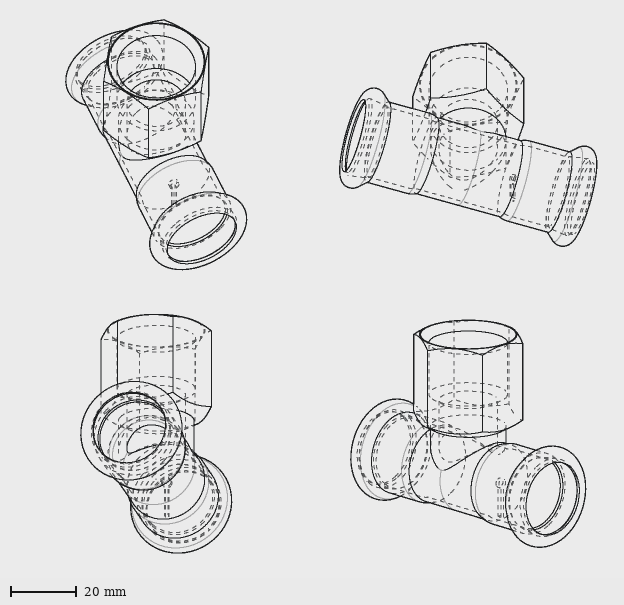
import cadquery as cq
import math

half_length = 37.0
wall = 1.5
socket_radius = 12.7
body_radius = 12.05
socket_bore = 11.0
body_bore = body_radius - wall
step_start = 16.05
step_end = 13.5
shoulder_sag = 0.15

bead_round = 3.2
bead_top = 15.75
bead_cone_length = 7.85
lip_bore = 11.4
lip_end = 1.25
recess_radius = 12.2
recess_start = 1.9
recess_end = 7.4
recess_step_end = 8.15

boss_radius = 11.55
branch_bore = 8.95
hex_flats = 30.0
hex_bottom = 15.0
hex_top = 44.25
hex_corner = hex_flats / math.sqrt(3)
corner_slope = math.tan(math.radians(30))
top_circle = 14.9
thread_bore = 12.0
mouth_radius = 14.6
mouth_depth = mouth_radius - thread_bore
thread_floor = 25.15
floor_depth = (thread_bore - branch_bore) * math.tan(math.radians(30))

tab_x = 14.8
tab_thickness = 1.2
tab_width = 1.2
tab_head_radius = 1.5

bead_x = half_length - bead_round
bead_z = bead_top - bead_round


def socket_outer(side):
    """Solid of revolution for one socket, side being +1 or -1 along X."""
    foot_x = half_length - bead_cone_length
    to_foot_x = foot_x - bead_x
    to_foot_z = socket_radius - bead_z
    foot_distance = math.hypot(to_foot_x, to_foot_z)
    tangent_angle = math.atan2(to_foot_z, to_foot_x) - math.acos(bead_round / foot_distance)
    tangent_x = bead_x + bead_round * math.cos(tangent_angle)
    tangent_z = bead_z + bead_round * math.sin(tangent_angle)
    mouth_x = bead_x + math.sqrt(bead_round**2 - (bead_z - lip_bore)**2)
    shoulder_x = (step_start + step_end) / 2
    shoulder_z = (socket_radius + body_radius) / 2 + shoulder_sag
    return (
        cq.Workplane("XZ")
        .moveTo(0, 0)
        .lineTo(0, body_radius)
        .lineTo(side * step_end, body_radius)
        .threePointArc((side * shoulder_x, shoulder_z), (side * step_start, socket_radius))
        .lineTo(side * foot_x, socket_radius)
        .lineTo(side * tangent_x, tangent_z)
        .threePointArc((side * half_length, bead_z), (side * mouth_x, lip_bore))
        .lineTo(side * mouth_x, 0)
        .close()
        .revolve(360, (0, 0, 0), (1, 0, 0))
    )


def socket_inner(side):
    """Stepped bore of one socket, with a tapered recess behind the mouth lip."""
    return (
        cq.Workplane("XZ")
        .moveTo(0, 0)
        .lineTo(0, body_bore)
        .lineTo(side * step_end, body_bore)
        .lineTo(side * step_start, socket_bore)
        .lineTo(side * (half_length - recess_step_end), socket_bore)
        .lineTo(side * (half_length - recess_end), lip_bore)
        .lineTo(side * (half_length - recess_start), recess_radius)
        .lineTo(side * (half_length - lip_end), lip_bore)
        .lineTo(side * half_length, lip_bore)
        .lineTo(side * half_length, 0)
        .close()
        .revolve(360, (0, 0, 0), (1, 0, 0))
    )


def hex_socket():
    """Hexagonal prism with corners on Y, turned conical at both ends."""
    prism = (
        cq.Workplane("XY", origin=(0, 0, hex_bottom))
        .polygon(6, 2 * hex_corner)
        .extrude(hex_top - hex_bottom)
        .rotate((0, 0, 0), (0, 0, 1), 90)
    )
    rim = hex_corner + 0.75
    envelope = (
        cq.Workplane("XZ")
        .moveTo(0, hex_bottom)
        .lineTo(boss_radius, hex_bottom)
        .lineTo(rim, hex_bottom + (rim - boss_radius) * corner_slope)
        .lineTo(rim, hex_top - (rim - top_circle) * corner_slope)
        .lineTo(top_circle, hex_top)
        .lineTo(0, hex_top)
        .close()
        .revolve(360, (0, 0, 0), (0, 1, 0))
    )
    return prism.intersect(envelope)


def branch_inner():
    """Branch bore, conical floor, thread bore and countersunk mouth."""
    return (
        cq.Workplane("XZ")
        .moveTo(0, 0)
        .lineTo(branch_bore, 0)
        .lineTo(branch_bore, thread_floor - floor_depth)
        .lineTo(thread_bore, thread_floor)
        .lineTo(thread_bore, hex_top - mouth_depth)
        .lineTo(mouth_radius, hex_top)
        .lineTo(0, hex_top)
        .close()
        .revolve(360, (0, 0, 0), (0, 1, 0))
    )


def keyhole_tab():
    """Flat stem rising from the tube wall to a round head on the tube axis."""
    stem_height = body_bore + wall / 2
    plane = cq.Workplane("YZ", origin=(tab_x - tab_thickness, 0, 0))
    head = plane.circle(tab_head_radius).extrude(tab_thickness)
    stem = plane.center(0, -stem_height / 2).rect(tab_width, stem_height).extrude(tab_thickness)
    return head.union(stem)


boss = cq.Workplane("XY").circle(boss_radius).extrude(hex_bottom)
result = socket_outer(1).union(socket_outer(-1)).union(boss).union(hex_socket())
result = result.cut(socket_inner(1)).cut(socket_inner(-1)).cut(branch_inner())
result = result.union(keyhole_tab())